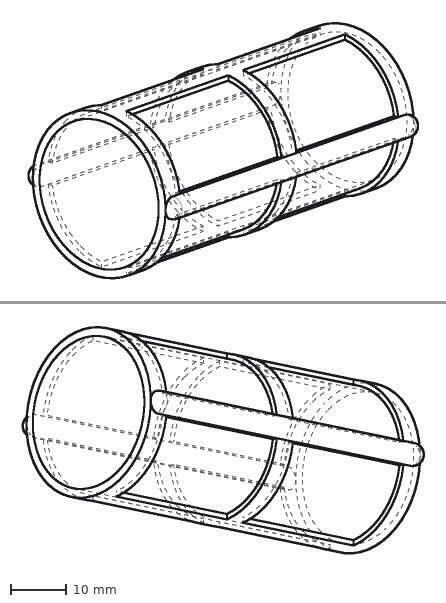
import cadquery as cq
import math

length = 70.25
ring_diameter = 31.2
bore_diameter = 27.95
panel_diameter = 29.2
overall_width = 35.5
rod_diameter = 4.2
ring_width = 4.2
rib_width = 5.9

rod_radius = rod_diameter / 2
rod_offset = overall_width / 2 - rod_radius
side_rib_width = rod_diameter
panel_length = (length - 3 * ring_width) / 2
panel_offset = (panel_length + ring_width) / 2


def cylinder_along_y(diameter, cylinder_length):
    """Cylinder on the Y axis, centred on the origin."""
    return cq.Workplane("XZ").circle(diameter / 2).extrude(cylinder_length / 2, both=True)


def panel_recess():
    """Shallow groove around the sleeve, split into four panels by the ribs."""
    clearance = 1.4
    outer_diameter = ring_diameter + 2 * clearance
    groove = cylinder_along_y(outer_diameter, panel_length)
    groove = groove.cut(cylinder_along_y(panel_diameter, panel_length))
    upright_rib = cq.Workplane("XY").box(rib_width, panel_length, outer_diameter)
    side_rib = cq.Workplane("XY").box(outer_diameter, panel_length, side_rib_width)
    return groove.cut(upright_rib).cut(side_rib)


def side_rod(side):
    """Round-ended rod along the sleeve; side is +1 or -1 along X."""
    half_length = length / 2
    shoulder = half_length - rod_radius
    arc_reach = rod_radius * math.sqrt(0.5)
    half_profile = (
        cq.Workplane("XY")
        .moveTo(0, -half_length)
        .threePointArc((arc_reach, -shoulder - arc_reach), (rod_radius, -shoulder))
        .lineTo(rod_radius, shoulder)
        .threePointArc((arc_reach, shoulder + arc_reach), (0, half_length))
        .close()
    )
    rod = half_profile.revolve(360, (0, 0, 0), (0, 1, 0))
    return rod.translate((side * rod_offset, 0, 0))


sleeve = cylinder_along_y(ring_diameter, length)
for end in (-1, 1):
    sleeve = sleeve.cut(panel_recess().translate((0, end * panel_offset, 0)))

for side in (-1, 1):
    sleeve = sleeve.union(side_rod(side))

result = sleeve.cut(cylinder_along_y(bore_diameter, length))